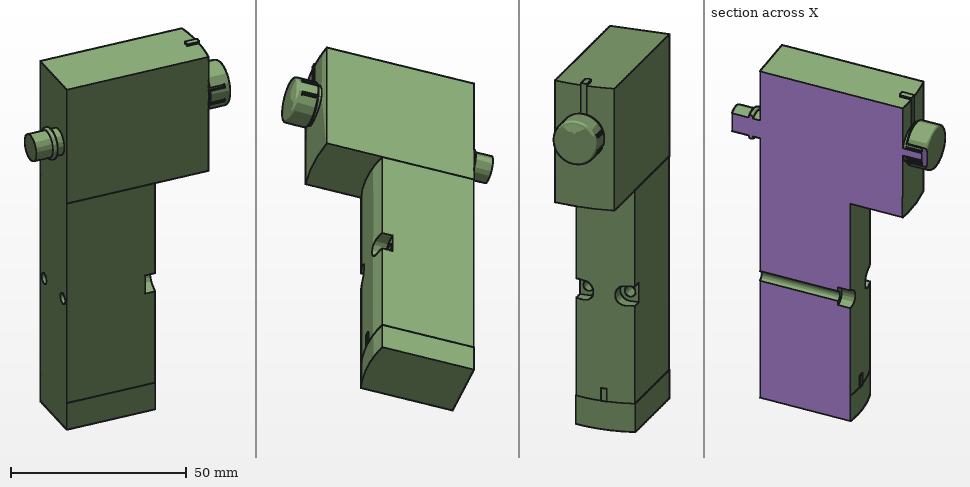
import cadquery as cq
import math


WIDTH = 18.1
HEAD_TOP = 111.8
HEAD_BOTTOM = 74.3
HEAD_DEPTH = 45.3
HEAD_BOW = 0.8
STEM_DEPTH = 29.0
STEM_BOW = 1.2
FOOT_HEIGHT = 8.8
STEM_RELIEF = 0.1

STRIP_WIDTH = 1.8
STRIP_HEIGHT = 0.7
STRIP_CROWN = 0.1
STRIP_LENGTH = 3.8
STRIP_STAND_OFF = 0.1

LATCH_WIDTH = 1.8
LATCH_HEIGHT = 3.9
LATCH_STAND_OFF = 0.2

HOLE_DIAMETER = 3.3
SEAT_WIDTH = 6.0
SEAT_FLOOR = 24.6
HOLE_OFFSET = 6.3
HOLE_HEIGHT = 41.7

PLUG_DIAMETER = 8.0
PLUG_LENGTH = 8.8
PLUG_X = 3.4
PLUG_Z = 91.9
RING_DIAMETER = 9.6
RING_WIDTH = 1.5
RING_DISTANCE = 2.8

STUD_DIAMETER = 12.0
STUD_Z = 96.8
CAP_DIAMETER = 13.4
CAP_START = 46.0
CAP_END = 53.4
CAP_FACE_DIAMETER = 11.8
CAP_DOME = 0.7
CAP_RIM_ROUND = 0.8
CAP_CHAMFER = 0.3
SLOT_END = 51.0
SLOT_WIDTH = 0.9
SLOT_OFFSET = 2.4


def bowed_block(width, depth, bow, bottom, top):
    """Upright block with a flat front and a back that bows out along X."""
    half = width / 2
    return (
        cq.Workplane("XY", origin=(0, 0, bottom))
        .moveTo(-half, 0)
        .lineTo(half, 0)
        .lineTo(half, depth - bow)
        .threePointArc((0, depth), (-half, depth - bow))
        .close()
        .extrude(top - bottom)
    )


def block_between(width, y_start, y_end, bottom, top):
    """Plain block centred on X."""
    return (
        cq.Workplane("XY")
        .box(width, y_end - y_start, top - bottom, centered=(True, False, False))
        .translate((0, y_start, bottom))
    )


def cylinder_along_y(diameter, x, z, y_start, y_end):
    """Cylinder parallel to Y."""
    axis = cq.Vector(0, 1, 0)
    solid = cq.Solid.makeCylinder(diameter / 2, y_end - y_start, cq.Vector(x, y_start, z), axis)
    return cq.Workplane(obj=solid)


def make_blocks():
    head = bowed_block(WIDTH, HEAD_DEPTH, HEAD_BOW, HEAD_BOTTOM, HEAD_TOP)
    stem = bowed_block(WIDTH - 2 * STEM_RELIEF, STEM_DEPTH, STEM_BOW, FOOT_HEIGHT, HEAD_BOTTOM)
    foot = bowed_block(WIDTH, STEM_DEPTH, STEM_BOW, 0, FOOT_HEIGHT)
    return head.union(stem).union(foot)


def make_strip():
    """Crowned strip that hooks over the head and runs down its back to the stud."""
    half = STRIP_WIDTH / 2
    back = HEAD_DEPTH + STRIP_STAND_OFF
    strip_top = HEAD_TOP + STRIP_HEIGHT
    return (
        cq.Workplane("XZ", origin=(0, back, 0))
        .moveTo(-half, STUD_Z)
        .lineTo(half, STUD_Z)
        .lineTo(half, strip_top - STRIP_CROWN)
        .threePointArc((0, strip_top), (-half, strip_top - STRIP_CROWN))
        .close()
        .extrude(STRIP_LENGTH)
    )


def make_latch():
    inner = STEM_DEPTH - STEM_BOW
    outer = STEM_DEPTH + LATCH_STAND_OFF
    return block_between(LATCH_WIDTH, inner, outer, FOOT_HEIGHT, FOOT_HEIGHT + LATCH_HEIGHT)


def make_plug():
    """Round plug with a rounded sealing ring around it."""
    radius = PLUG_DIAMETER / 2
    ring_half = RING_WIDTH / 2
    return (
        cq.Workplane("XY")
        .lineTo(0, -PLUG_LENGTH)
        .lineTo(radius, -PLUG_LENGTH)
        .lineTo(radius, -RING_DISTANCE - ring_half)
        .threePointArc((RING_DIAMETER / 2, -RING_DISTANCE), (radius, -RING_DISTANCE + ring_half))
        .lineTo(radius, 0)
        .close()
        .revolve(360, (0, 0, 0), (0, 1, 0))
        .translate((PLUG_X, 0, PLUG_Z))
    )


def make_screw_seat(side):
    """Round-ended slot around a mounting hole, running out through the side (-1 or 1) of the stem."""
    half = SEAT_WIDTH / 2
    seat_depth = STEM_DEPTH - SEAT_FLOOR
    outer_x = side * WIDTH / 2
    hole_x = side * HOLE_OFFSET
    return (
        cq.Workplane("XZ", origin=(0, STEM_DEPTH, 0))
        .moveTo(outer_x, HOLE_HEIGHT - half)
        .lineTo(hole_x, HOLE_HEIGHT - half)
        .threePointArc((hole_x - side * half, HOLE_HEIGHT), (hole_x, HOLE_HEIGHT + half))
        .lineTo(outer_x, HOLE_HEIGHT + half)
        .close()
        .extrude(seat_depth)
    )


def make_housing():
    housing = make_blocks().union(make_strip()).union(make_latch()).union(make_plug())
    housing = housing.union(cylinder_along_y(STUD_DIAMETER, 0, STUD_Z, HEAD_DEPTH - HEAD_BOW, SLOT_END))
    for side in (-1, 1):
        hole = cylinder_along_y(HOLE_DIAMETER, side * HOLE_OFFSET, HOLE_HEIGHT, 0, STEM_DEPTH)
        housing = housing.cut(hole).cut(make_screw_seat(side))
    return housing


def make_cap():
    """Domed cap, bored to fit the stud, with two slots across each side of its skirt."""
    radius = CAP_DIAMETER / 2
    face_radius = CAP_FACE_DIAMETER / 2
    face_edge = CAP_END - CAP_DOME
    dome_radius = (face_radius**2 + CAP_DOME**2) / (2 * CAP_DOME)
    middle = face_radius / 2
    middle_y = CAP_END - dome_radius + math.sqrt(dome_radius**2 - middle**2)
    cap = (
        cq.Workplane("XY")
        .moveTo(0, CAP_START)
        .lineTo(radius - CAP_CHAMFER, CAP_START)
        .lineTo(radius, CAP_START + CAP_CHAMFER)
        .lineTo(radius, face_edge - CAP_RIM_ROUND)
        .tangentArcPoint((face_radius, face_edge), relative=False)
        .threePointArc((middle, middle_y), (0, CAP_END))
        .close()
        .revolve(360, (0, 0, 0), (0, 1, 0))
        .translate((0, 0, STUD_Z))
    )
    cap = cap.cut(cylinder_along_y(STUD_DIAMETER, 0, STUD_Z, CAP_START, SLOT_END))
    for offset in (-SLOT_OFFSET, SLOT_OFFSET):
        z = STUD_Z + offset
        slot = block_between(CAP_DIAMETER, CAP_START, SLOT_END, z - SLOT_WIDTH / 2, z + SLOT_WIDTH / 2)
        cap = cap.cut(slot)
    return cap


valve_housing = make_housing()
stud_cap = make_cap()
result = cq.Compound.makeCompound([*valve_housing.solids().vals(), *stud_cap.solids().vals()])